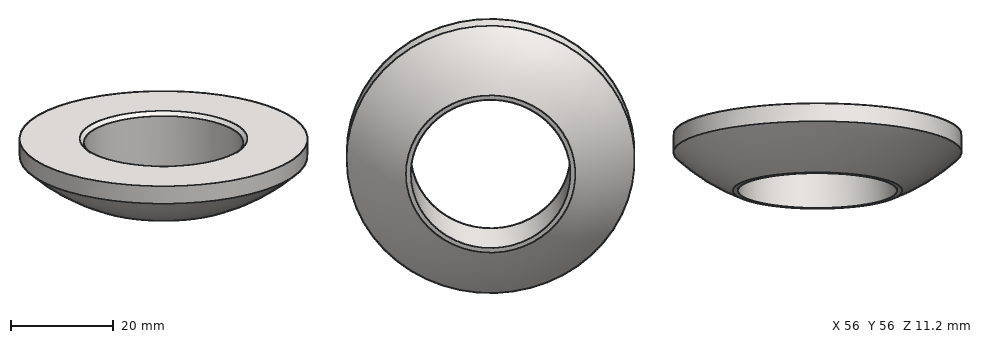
import cadquery as cq
import math

outer_diameter = 56.0
bore_diameter = 31.0
height = 11.2
rim_height = 3.6
sphere_radius = 41.0
bore_chamfer = 0.8

outer_radius = outer_diameter / 2
bore_radius = bore_diameter / 2
rim_base = height - rim_height

sphere_center_z = rim_base + math.sqrt(sphere_radius**2 - outer_radius**2)


def sphere_section_radius(z):
    """Distance from the Z axis to the sphere at height z."""
    return math.sqrt(sphere_radius**2 - (sphere_center_z - z) ** 2)


def washer_body():
    """Half section on the -X side, revolved about Z, with the bottom face at Z = 0."""
    arc_mid_z = rim_base / 2
    half_section = (
        cq.Workplane("XZ")
        .moveTo(-bore_radius, 0)
        .lineTo(-sphere_section_radius(0), 0)
        .threePointArc(
            (-sphere_section_radius(arc_mid_z), arc_mid_z),
            (-outer_radius, rim_base),
        )
        .lineTo(-outer_radius, height)
        .lineTo(-bore_radius, height)
        .close()
    )
    return half_section.revolve(360, (0, 0, 0), (0, 1, 0))


def chamfer_bore(body):
    """Break the upper edge of the bore, the smaller circle on the top face."""
    top_bore_edge = body.faces(">Z").edges(cq.selectors.RadiusNthSelector(0))
    return top_bore_edge.chamfer(bore_chamfer)


result = chamfer_bore(washer_body())